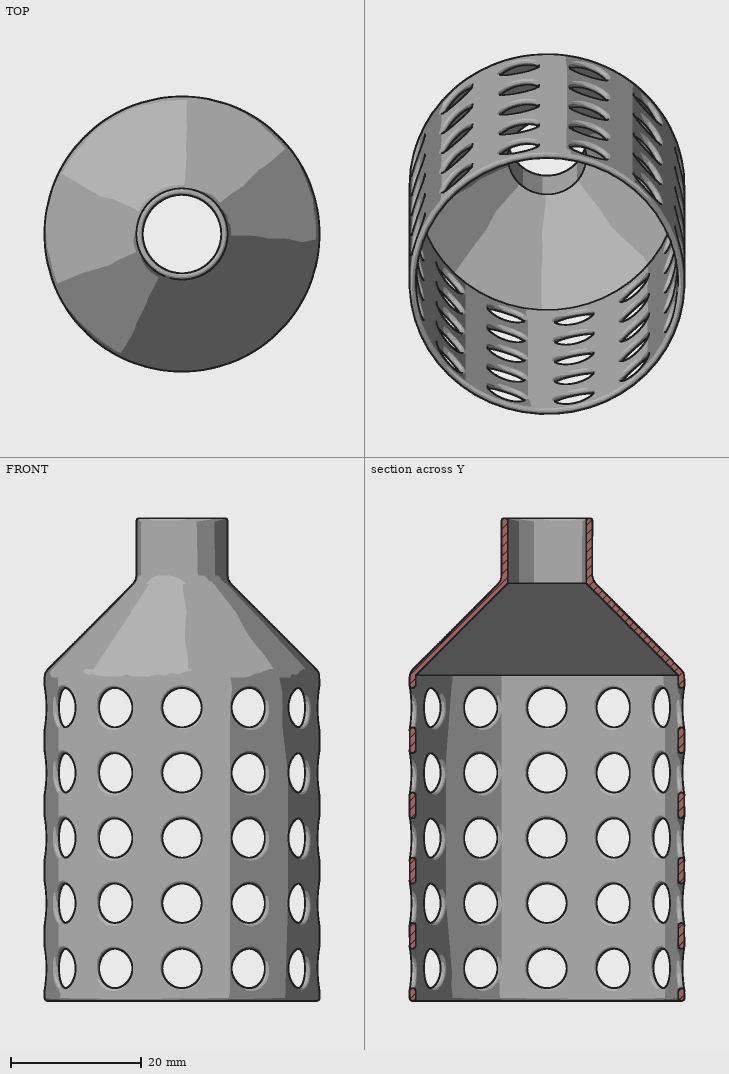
import cadquery as cq
import math

total_height = 74.15
body_inner_diameter = 40.25
neck_inner_diameter = 12.0
neck_inner_length = 10.0
cone_angle = 45.0
body_outer_diameter = 42.25

hole_diameter = 6.0
hole_rows = 5
hole_columns = 12
row_pitch = 10.0
first_row_height = row_pitch / 2

bend_radius = 1.85
mouth_radius = 0.48

body_inner_radius = body_inner_diameter / 2
neck_inner_radius = neck_inner_diameter / 2
body_outer_radius = body_outer_diameter / 2
wall = body_outer_radius - body_inner_radius
neck_outer_radius = neck_inner_radius + wall
rim_radius = wall / 2
cone_height = (body_inner_radius - neck_inner_radius) * math.tan(math.radians(cone_angle))
neck_inner_base = total_height - neck_inner_length
body_inner_top = neck_inner_base - cone_height
bend_offset = wall * math.tan(math.radians(cone_angle / 2))
body_outer_top = body_inner_top + bend_offset
neck_outer_base = neck_inner_base + bend_offset
last_row_height = first_row_height + (hole_rows - 1) * row_pitch
column_angle = 360 / hole_columns


def bottle_shell():
    """Body, cone and neck as one wall profile turned about Z, with rounded outer bends."""
    body_middle_radius = body_inner_radius + rim_radius
    neck_middle_radius = neck_inner_radius + rim_radius
    shell = (
        cq.Workplane("XZ")
        .moveTo(body_inner_radius, rim_radius)
        .threePointArc((body_middle_radius, 0), (body_outer_radius, rim_radius))
        .lineTo(body_outer_radius, body_outer_top)
        .lineTo(neck_outer_radius, neck_outer_base)
        .lineTo(neck_outer_radius, total_height - rim_radius)
        .threePointArc((neck_middle_radius, total_height), (neck_inner_radius, total_height - rim_radius))
        .lineTo(neck_inner_radius, neck_inner_base)
        .lineTo(body_inner_radius, body_inner_top)
        .close()
        .revolve(360, (0, 0, 0), (0, 1, 0))
    )
    bend_edges = [edge for edge in shell.edges("%CIRCLE").vals() if is_outer_bend(edge)]
    shell = shell.newObject(bend_edges).fillet(bend_radius)
    return shell.rotate((0, 0, 0), (0, 0, 1), column_angle / 2)


def is_outer_bend(edge):
    """True for the horizontal circles where the outside of the cone meets the body and the neck."""
    height = edge.Center().z
    tolerance = bend_offset / 10
    return any(abs(height - bend) < tolerance for bend in (body_outer_top, neck_outer_base))


def hole_cutters():
    """Radial cutters through the body wall, one for each row and column."""
    start = cq.Workplane("YZ").workplane(offset=body_inner_radius - 2 * wall)
    cutter = start.circle(hole_diameter / 2).extrude(4 * wall).val()
    cutters = []
    for row in range(hole_rows):
        height = first_row_height + row * row_pitch
        for column in range(hole_columns):
            turned = cutter.rotate((0, 0, 0), (0, 0, 1), column * column_angle)
            cutters.append(turned.translate((0, 0, height)))
    return cq.Workplane(cq.Compound.makeCompound(cutters))


def is_mouth(edge):
    """True for the saddle curves where a hole meets the inside or outside of the body."""
    below_shoulder = edge.Center().z < last_row_height + hole_diameter / 2
    return below_shoulder and edge.geomType() not in ("CIRCLE", "LINE")


perforated = bottle_shell().cut(hole_cutters())
mouth_edges = [edge for edge in perforated.edges().vals() if is_mouth(edge)]
result = perforated.newObject(mouth_edges).fillet(mouth_radius).solids()